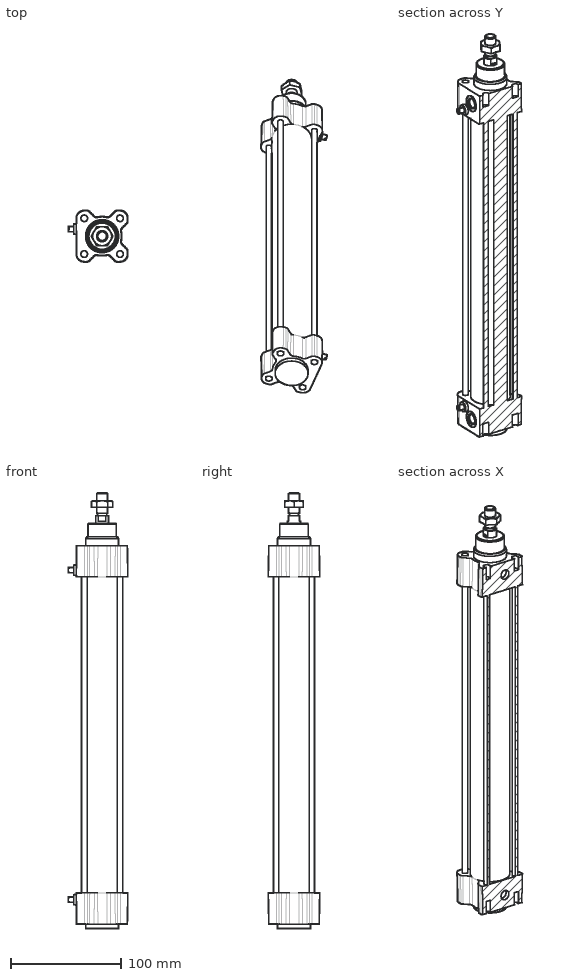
import cadquery as cq
import math

total_length = 396.0
rod_projection = 48.0
rear_boss_height = 4.0
head_length = 28.5

front_face_z = total_length - rod_projection
front_seat_z = front_face_z - head_length
rear_face_z = rear_boss_height
rear_seat_z = rear_face_z + head_length

head_width = 47.0
head_draft = 0.5
tie_rod_offset = 32.5 / 2
corner_radius = head_width / 2 - tie_rod_offset
lobe_half_width = 7.85
shoulder_radius = 3.2
foot_radius = 3.1
valley_radius = 18.0

tube_diameter = 36.0
tie_rod_diameter = 5.2
mounting_hole_diameter = 6.0
mounting_hole_depth = 12.0
boss_diameter = 30.0
collar_diameter = 26.0
collar_height = 20.5
collar_chamfer = 1.0
boss_height = 8.0
boss_chamfer_width = 1.0
boss_chamfer_height = 1.8

port_y = -3.0
port_inset = 12.8
port_spotface_diameter = 15.0
port_spotface_depth = 0.5
port_mouth_diameter = 10.0
port_diameter = 8.5
port_depth = 9.0
screw_y = 6.5
screw_inset = 22.3
screw_base_diameter = 10.0
screw_flange_diameter = 9.2
screw_flange_height = 2.5
screw_stem_diameter = 5.0
screw_height = 7.5
screw_slot_width = 1.0
screw_slot_depth = 1.0

rod_diameter = 12.0
thread_diameter = 10.0
thread_chamfer = 1.0
thread_length = 18.5
undercut_diameter = 8.5
undercut_length = 2.3
flat_width = 10.0
flat_length = 5.0
nut_across_flats = 17.0
nut_height = 6.0
nut_chamfer_height = 0.8
nut_chamfer_width = 1.2
nut_top_inset = 7.4


def turned(x, y):
    """A quarter turn clockwise about the cylinder axis."""
    return (y, -x)


def diagonal_point(along, across):
    """Point given along the +X+Y diagonal and across it toward +Y."""
    return ((along - across) / math.sqrt(2), (along + across) / math.sqrt(2))


def polar_shift(point, radius, degrees):
    """Point at a radius and angle from another point."""
    angle = math.radians(degrees)
    return (point[0] + radius * math.cos(angle), point[1] + radius * math.sin(angle))


def half_notch(inset):
    """The +X half of the notch in the +Y side, from the valley out to the side's flat."""
    half = head_width / 2 - inset
    lobe = lobe_half_width - inset
    valley = valley_radius - inset
    foot = foot_radius + inset
    shoulder = shoulder_radius - inset

    foot_across = lobe + foot
    foot_along = math.sqrt((valley + foot) ** 2 - foot_across**2)
    foot_center = diagonal_point(foot_along, foot_across)
    foot_angle = math.degrees(math.atan2(foot_center[1], foot_center[0])) + 180
    foot_end_angle = 315
    foot_start = polar_shift(foot_center, foot, foot_angle)
    foot_mid = polar_shift(foot_center, foot, (foot_angle + foot_end_angle) / 2)
    foot_end = polar_shift(foot_center, foot, foot_end_angle)

    shoulder_y = half - shoulder
    shoulder_center = (shoulder_y - math.sqrt(2) * (lobe - shoulder), shoulder_y)
    shoulder_start = polar_shift(shoulder_center, shoulder, 135)
    shoulder_mid = polar_shift(shoulder_center, shoulder, 112.5)
    shoulder_end = polar_shift(shoulder_center, shoulder, 90)
    return [foot_start, foot_mid, foot_end, shoulder_start, shoulder_mid, shoulder_end]


def head_outline(plane, inset):
    """Four-lobed outline with notches in three sides; the -X side stays flat and undrafted."""
    half = head_width / 2 - inset
    port_side = head_width / 2
    rounding = corner_radius - inset
    corner = (tie_rod_offset, tie_rod_offset)
    valley = valley_radius - inset
    right = half_notch(inset)
    left = [(-x, y) for x, y in reversed(right)]

    port_corner = (-port_side + corner_radius, half - corner_radius)
    port_corner_mid = polar_shift(port_corner, corner_radius, 135)
    outline = (
        plane.moveTo(-port_side, -port_corner[1])
        .lineTo(-port_side, port_corner[1])
        .threePointArc(port_corner_mid, (port_corner[0], half))
    )
    valley_mid = (0, valley)
    corner_start = (corner[0], half)
    corner_mid = polar_shift(corner, rounding, 45)
    corner_end = (half, corner[1])
    for side in range(3):
        outline = (
            outline.lineTo(*left[0])
            .threePointArc(left[1], left[2])
            .lineTo(*left[3])
            .threePointArc(left[4], left[5])
            .threePointArc(valley_mid, right[0])
            .threePointArc(right[1], right[2])
            .lineTo(*right[3])
            .threePointArc(right[4], right[5])
        )
        if side < 2:
            outline = outline.lineTo(*corner_start).threePointArc(corner_mid, corner_end)
        left = [turned(*point) for point in left]
        right = [turned(*point) for point in right]
        valley_mid = turned(*valley_mid)
        corner_start = turned(*corner_start)
        corner_mid = turned(*corner_mid)
        corner_end = turned(*corner_end)
    return (
        outline.lineTo(port_corner[0], -half)
        .threePointArc((port_corner_mid[0], -port_corner_mid[1]), (-port_side, -port_corner[1]))
        .close()
    )


def make_head(face_z, seat_z):
    """One end head: drafted block, mounting holes, air port and cushion screw."""
    inward = math.copysign(1, seat_z - face_z)
    seat_plane = cq.Workplane("XY", origin=(0, 0, seat_z))
    head = head_outline(seat_plane, 0)
    head = head_outline(head.workplane(offset=face_z - seat_z), head_draft).loft(ruled=True)

    holes = (
        cq.Workplane("XY", origin=(0, 0, face_z))
        .rect(2 * tie_rod_offset, 2 * tie_rod_offset, forConstruction=True)
        .vertices()
        .circle(mounting_hole_diameter / 2)
        .extrude(inward * mounting_hole_depth)
    )
    port = make_port().translate((-head_width / 2, port_y, face_z + inward * port_inset))
    screw = make_cushion_screw().translate((-head_width / 2, screw_y, face_z + inward * screw_inset))
    return head.cut(holes).cut(port).union(screw)


def make_port():
    """Cutter for a spotfaced, countersunk blind port entering along +X."""
    mouth_radius = port_mouth_diameter / 2
    port_radius = port_diameter / 2
    countersink_end = port_spotface_depth + mouth_radius - port_radius
    return (
        cq.Workplane("XY")
        .moveTo(0, 0)
        .lineTo(0, port_spotface_diameter / 2)
        .lineTo(port_spotface_depth, port_spotface_diameter / 2)
        .lineTo(port_spotface_depth, mouth_radius)
        .lineTo(countersink_end, port_radius)
        .lineTo(port_depth, port_radius)
        .lineTo(port_depth, 0)
        .close()
        .revolve(360, (0, 0, 0), (1, 0, 0))
    )


def make_cushion_screw():
    """Slotted screw stem standing on a conical flange, pointing along -X."""
    stem_radius = screw_stem_diameter / 2
    screw = (
        cq.Workplane("XY")
        .moveTo(0, 0)
        .lineTo(0, screw_base_diameter / 2)
        .lineTo(-screw_flange_height, screw_flange_diameter / 2)
        .lineTo(-screw_flange_height, stem_radius)
        .lineTo(-screw_height, stem_radius)
        .lineTo(-screw_height, 0)
        .close()
        .revolve(360, (0, 0, 0), (1, 0, 0))
    )
    slot = cq.Workplane("XY").box(2 * screw_slot_depth, screw_slot_width, screw_stem_diameter)
    return screw.cut(slot.translate((-screw_height, 0, 0)))


def make_cylinder_body():
    """Both heads, tube, tie rods, front collar and rear boss, bored for the piston rod."""
    front_head = make_head(front_face_z, front_seat_z)
    rear_head = make_head(rear_face_z, rear_seat_z)
    between_heads = cq.Workplane("XY", origin=(0, 0, rear_seat_z))
    tube_length = front_seat_z - rear_seat_z
    tube = between_heads.circle(tube_diameter / 2).extrude(tube_length)
    tie_rods = (
        between_heads.rect(2 * tie_rod_offset, 2 * tie_rod_offset, forConstruction=True)
        .vertices()
        .circle(tie_rod_diameter / 2)
        .extrude(tube_length)
    )
    front_boss = (
        cq.Workplane("XY", origin=(0, 0, front_face_z))
        .circle(boss_diameter / 2)
        .extrude(boss_height)
        .faces(">Z")
        .chamfer(boss_chamfer_height, boss_chamfer_width)
    )
    collar = (
        cq.Workplane("XY", origin=(0, 0, front_face_z))
        .circle(collar_diameter / 2)
        .extrude(collar_height)
        .faces(">Z")
        .chamfer(collar_chamfer)
    )
    rear_boss = cq.Workplane("XY").circle(boss_diameter / 2).extrude(rear_boss_height)
    body = tube.union(front_head).union(rear_head).union(tie_rods)
    body = body.union(front_boss).union(collar).union(rear_boss)
    rod_bore = (
        cq.Workplane("XY", origin=(0, 0, front_seat_z))
        .circle(rod_diameter / 2)
        .extrude(head_length + collar_height)
    )
    return body.cut(rod_bore)


def make_piston_rod():
    """Rod with wrench flats, an undercut and a plain cylinder in place of the thread."""
    thread_start_z = total_length - thread_length
    shank_top_z = thread_start_z - undercut_length
    shank = (
        cq.Workplane("XY", origin=(0, 0, front_seat_z))
        .circle(rod_diameter / 2)
        .extrude(shank_top_z - front_seat_z)
    )
    flat_stock = (
        cq.Workplane("XY", origin=(0, 0, shank_top_z))
        .rect(2 * rod_diameter, 2 * rod_diameter)
        .rect(2 * rod_diameter, flat_width)
        .extrude(-flat_length)
    )
    undercut = (
        cq.Workplane("XY", origin=(0, 0, shank_top_z))
        .circle(undercut_diameter / 2)
        .extrude(undercut_length)
    )
    thread = (
        cq.Workplane("XY", origin=(0, 0, thread_start_z))
        .circle(thread_diameter / 2)
        .extrude(thread_length)
        .faces(">Z")
        .chamfer(thread_chamfer)
    )
    return shank.cut(flat_stock).union(undercut).union(thread)


def make_nut():
    """Hexagon nut with corners on the X axis, its upper corners turned off to a cone."""
    corner_diameter = nut_across_flats / math.cos(math.radians(30))
    base_plane = cq.Workplane("XY", origin=(0, 0, total_length - nut_top_inset - nut_height))
    hexagon = base_plane.polygon(6, corner_diameter).extrude(nut_height)
    turned_blank = (
        base_plane.circle(corner_diameter / 2)
        .extrude(nut_height)
        .faces(">Z")
        .chamfer(nut_chamfer_height, nut_chamfer_width)
    )
    bore = base_plane.circle(thread_diameter / 2).extrude(nut_height)
    return hexagon.intersect(turned_blank).cut(bore)


cylinder_body = make_cylinder_body()
piston_rod = make_piston_rod()
rod_nut = make_nut()
result = cq.Compound.makeCompound([cylinder_body.val(), piston_rod.val(), rod_nut.val()])